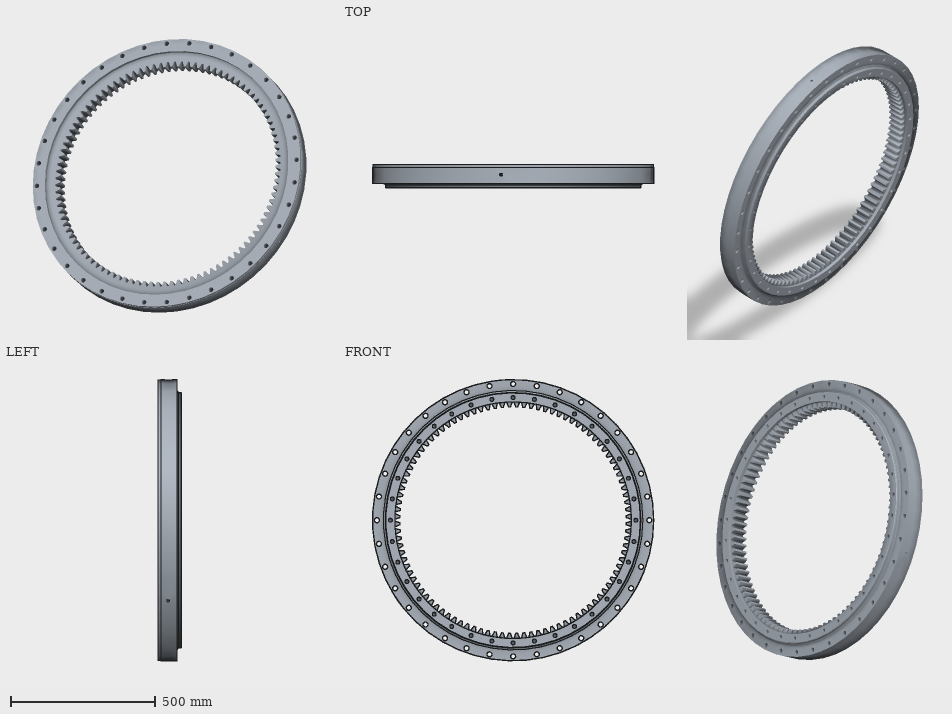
import math

import cadquery as cq


total_width = 82.0
front_y = -total_width / 2
back_y = total_width / 2
outer_front_y = -25.0
inner_back_y = 27.0
tooth_front_y = -29.0
seal_front_y = -30.0
grease_y = 6.0

outer_radius = 487.5
register_radius = 487.0
register_width = 11.0
outer_bolt_circle_radius = 472.0
outer_bolt_hole_diameter = 17.0
grease_hole_diameter = 9.0
grease_hole_count = 3

seal_outer_radius = 449.0
seal_depth = 5.0

inner_outer_radius = 443.0
front_chamfer = 2.0
inner_bolt_circle_radius = 425.0
inner_bolt_hole_diameter = 14.0
inner_bolt_hole_depth = 39.0
drill_point_angle = 118.0

bolt_count = 36
bolt_step = 360 / bolt_count
first_grease_angle = 30 - bolt_step / 2

tooth_count = 100
module = 8.0
pressure_angle = math.radians(20)
pitch_radius = module * tooth_count / 2
tip_radius = pitch_radius - module
root_clearance = 0.25
root_radius = pitch_radius + (1 + root_clearance) * module
base_radius = pitch_radius * math.cos(pressure_angle)
tooth_root_overlap = 3.0


def ring(radius, bore_radius, start_y, end_y):
    """Plain ring about the Y axis from start_y to end_y."""
    return (
        cq.Workplane("XZ", origin=(0, end_y, 0))
        .circle(radius)
        .circle(bore_radius)
        .extrude(end_y - start_y)
    )


def involute(angle):
    return math.tan(angle) - angle


def flank_point(radius, side):
    """Point of a tooth flank; the tooth is centred on +X and side is +1 or -1."""
    flank_angle = math.acos(base_radius / radius)
    half_space = math.pi / (2 * tooth_count) + involute(pressure_angle) - involute(flank_angle)
    half_tooth = side * (math.pi / tooth_count - half_space)
    return radius * math.cos(half_tooth), radius * math.sin(half_tooth)


def about_axis(solid, count, first_angle=0):
    """Copies of a solid, evenly spaced about the Y axis."""
    return [solid.rotate((0, 0, 0), (0, 1, 0), first_angle + index * 360 / count) for index in range(count)]


def make_grease_holes():
    """Radial holes from the bore of the outer ring to its outside."""
    hole = cq.Solid.makeCylinder(
        grease_hole_diameter / 2,
        outer_radius - inner_outer_radius,
        cq.Vector(inner_outer_radius, grease_y, 0),
        cq.Vector(1, 0, 0),
    )
    return about_axis(hole, grease_hole_count, first_grease_angle)


def make_outer_ring():
    register_front_y = back_y - register_width
    flange = ring(outer_radius, inner_outer_radius, outer_front_y, register_front_y)
    register = ring(register_radius, inner_outer_radius, register_front_y, back_y)
    seal_recess = ring(seal_outer_radius, inner_outer_radius, outer_front_y, outer_front_y + seal_depth)
    bolt_holes = (
        cq.Workplane("XZ", origin=(0, back_y, 0))
        .polarArray(outer_bolt_circle_radius, 0, 360, bolt_count)
        .circle(outer_bolt_hole_diameter / 2)
        .extrude(back_y - outer_front_y)
    )
    body = flange.union(register).cut(seal_recess).cut(bolt_holes)
    return cq.Workplane(body.val().cut(*make_grease_holes()))


def make_tooth():
    """One gear tooth, centred on +X."""
    middle_radius = (tip_radius + root_radius) / 2
    blank_x = root_radius + tooth_root_overlap
    root_left = flank_point(root_radius, 1)
    root_right = flank_point(root_radius, -1)
    return (
        cq.Workplane("XZ", origin=(0, inner_back_y, 0))
        .moveTo(*root_left)
        .threePointArc(flank_point(middle_radius, 1), flank_point(tip_radius, 1))
        .threePointArc((tip_radius, 0), flank_point(tip_radius, -1))
        .threePointArc(flank_point(middle_radius, -1), root_right)
        .lineTo(blank_x, root_right[1])
        .lineTo(blank_x, root_left[1])
        .close()
        .extrude(inner_back_y - tooth_front_y)
        .val()
    )


def make_inner_bolt_holes():
    """Blind holes with a drill point, sunk into the front face of the inner ring."""
    hole_radius = inner_bolt_hole_diameter / 2
    bottom_y = front_y + inner_bolt_hole_depth
    point_depth = hole_radius / math.tan(math.radians(drill_point_angle / 2))
    hole = (
        cq.Workplane("XY")
        .polyline([
            (0, front_y),
            (hole_radius, front_y),
            (hole_radius, bottom_y),
            (0, bottom_y + point_depth),
        ])
        .close()
        .revolve(360, (0, 0, 0), (0, 1, 0))
        .val()
        .translate(cq.Vector(inner_bolt_circle_radius, 0, 0))
    )
    return about_axis(hole, bolt_count)


def make_inner_ring():
    body = ring(inner_outer_radius, root_radius, front_y, inner_back_y)
    body = body.faces("<Y").edges(cq.selectors.RadiusNthSelector(-1)).chamfer(front_chamfer)
    half_tooth_step = 180 / tooth_count
    teeth = about_axis(make_tooth(), tooth_count, half_tooth_step)
    toothed_ring = body.val().fuse(*teeth)
    return cq.Workplane(toothed_ring.cut(*make_inner_bolt_holes()))


def make_seal():
    """Seal that fills the recess of the outer ring and slopes up to the inner ring."""
    return (
        cq.Workplane("XY")
        .polyline([
            (inner_outer_radius, seal_front_y),
            (seal_outer_radius, outer_front_y),
            (seal_outer_radius, outer_front_y + seal_depth),
            (inner_outer_radius, outer_front_y + seal_depth),
        ])
        .close()
        .revolve(360, (0, 0, 0), (0, 1, 0))
    )


outer_ring = make_outer_ring()
inner_ring = make_inner_ring()
seal = make_seal()
result = cq.Compound.makeCompound([outer_ring.val(), inner_ring.val(), seal.val()])